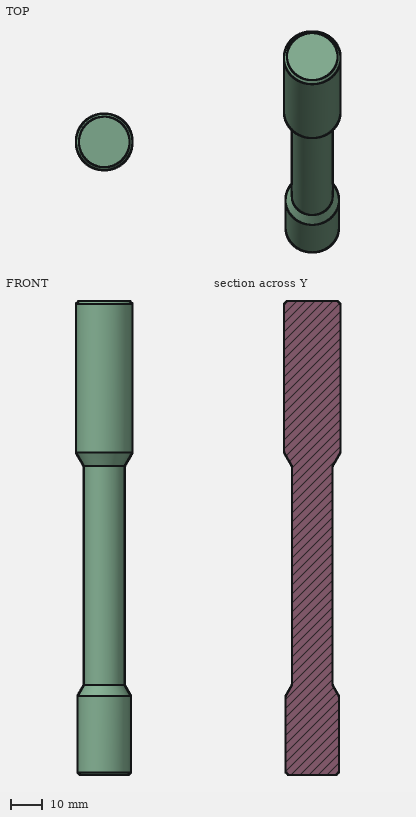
import cadquery as cq
import math

total_length = 150.0

head_radius = 18.0 / 2
head_length = 48.0
head_chamfer = 1.0

foot_radius = 17.0 / 2
foot_length = 25.0
foot_chamfer = 0.85

neck_radius = 13.0 / 2
cone_half_angle = 30.0


def cone_length(end_radius):
    """Axial length of the cone that leads from the neck out to an end."""
    return (end_radius - neck_radius) / math.tan(math.radians(cone_half_angle))


head_bottom = total_length - head_length
neck_top = head_bottom - cone_length(head_radius)
neck_bottom = foot_length + cone_length(foot_radius)


def shaft_profile():
    """Half section in the XZ plane, from the bottom of the axis to its top."""
    return (
        cq.Workplane("XZ")
        .moveTo(0, 0)
        .lineTo(foot_radius - foot_chamfer, 0)
        .lineTo(foot_radius, foot_chamfer)
        .lineTo(foot_radius, foot_length)
        .lineTo(neck_radius, neck_bottom)
        .lineTo(neck_radius, neck_top)
        .lineTo(head_radius, head_bottom)
        .lineTo(head_radius, total_length - head_chamfer)
        .lineTo(head_radius - head_chamfer, total_length)
        .lineTo(0, total_length)
        .close()
    )


result = shaft_profile().revolve(360, (0, 0, 0), (0, 1, 0))